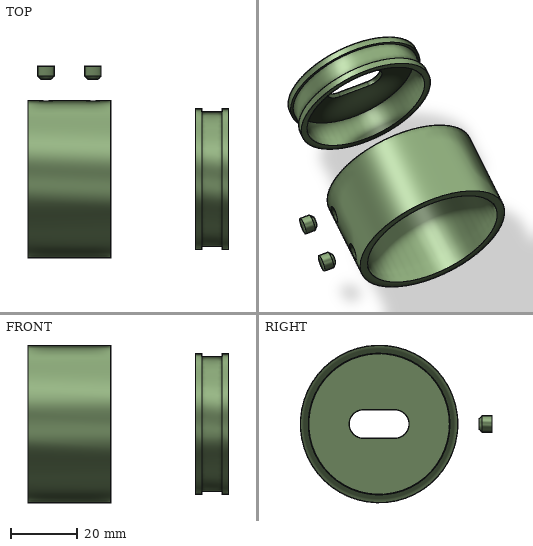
import cadquery as cq

total_length = 60.4
total_depth = 57.7

sleeve_length = 25.0
sleeve_diameter = 47.4
sleeve_bore = 42.5

cap_length = 10.0
cap_diameter = 42.4
cap_bore = 38.55
groove_diameter = 40.7
flange_width = 2.0
floor_thickness = 1.5
slot_length = 17.95
slot_height = 8.5
cap_start = total_length - cap_length

screw_diameter = 5.0
screw_length = 4.0
screw_chamfer = 1.0
screw_end_inset = 5.45
screw_outer_y = total_depth - sleeve_diameter / 2
screw_positions = [screw_end_inset, sleeve_length - screw_end_inset]


def disc_along_x(start, length, diameter):
    """Cylinder on the X axis, beginning at x = start."""
    return cq.Workplane("YZ", origin=(start, 0, 0)).circle(diameter / 2).extrude(length)


def cylinder_inward(x, outer_y, length, diameter):
    """Cylinder running from y = outer_y toward the X axis."""
    return cq.Workplane("XZ", origin=(x, outer_y, 0)).circle(diameter / 2).extrude(length)


def make_sleeve():
    """Open tube with a row of screw holes through one wall."""
    sleeve = disc_along_x(0, sleeve_length, sleeve_diameter)
    sleeve = sleeve.cut(disc_along_x(0, sleeve_length, sleeve_bore))
    for x in screw_positions:
        sleeve = sleeve.cut(cylinder_inward(x, sleeve_diameter / 2, sleeve_diameter / 2, screw_diameter))
    return sleeve


def make_cap():
    """Cup open toward the sleeve, grooved outside, with a slot through its floor."""
    cap = disc_along_x(cap_start, cap_length, cap_diameter)

    groove_start = cap_start + flange_width
    groove_width = cap_length - 2 * flange_width
    groove = disc_along_x(groove_start, groove_width, cap_diameter).cut(
        disc_along_x(groove_start, groove_width, groove_diameter)
    )
    cap = cap.cut(groove)

    cap = cap.cut(disc_along_x(cap_start, cap_length - floor_thickness, cap_bore))

    slot = (
        cq.Workplane("YZ", origin=(cap_start, 0, 0))
        .slot2D(slot_length, slot_height)
        .extrude(cap_length)
    )
    return cap.cut(slot)


def make_screw(x):
    """Headless screw whose inner end is chamfered."""
    screw = cylinder_inward(x, screw_outer_y, screw_length, screw_diameter)
    return screw.faces("<Y").chamfer(screw_chamfer)


sleeve = make_sleeve()
cap = make_cap()
screws = [make_screw(x) for x in screw_positions]

result = cq.Compound.makeCompound([sleeve.val(), cap.val(), *[screw.val() for screw in screws]])